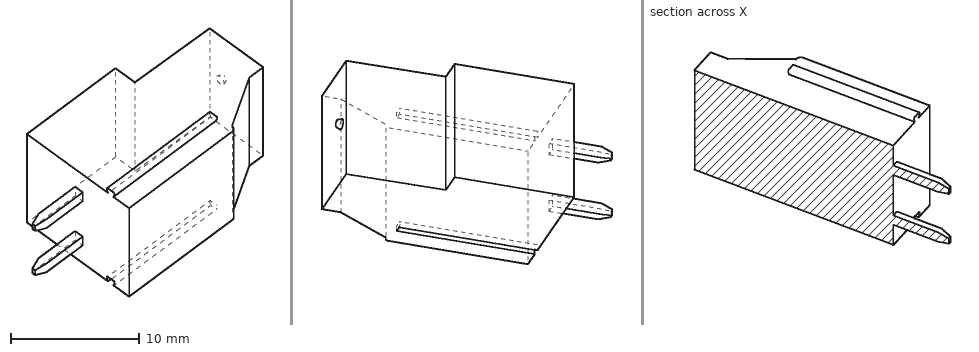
import cadquery as cq

pitch = 5.08
pole_count = 2
body_width = 11.2
body_length = 18.0
body_height = pole_count * pitch
total_length = 23.4
total_height = 10.67

shoulder_y = 9.83
shoulder_x = 2.13
back_left_x = 2.25
back_right_x = 8.12
slope_start_y = 16.45
slope_end = (10.76, 11.86)
lip_end = (10.95, 11.8)
lip_arc_middle = (11.15, 11.68)
lip_corner_y = 11.51

dovetail_x = 9.2
dovetail_length = 11.37
dovetail_height = total_height - body_height
dovetail_neck = 0.6
dovetail_head = 0.98
dovetail_rounding = 0.15

pin_x = 5.7
pin_width = 0.85
pin_height = 1.0
pin_straight = 4.05
pin_tip_width = 0.3
pin_tip_height = 0.55

nub_x = 3.4
nub_base_radius = 0.42
nub_top_radius = 0.3
nub_rounding = 0.16
nub_length = 0.4

pin_length = total_length - body_length - nub_length


def make_body():
    return (
        cq.Workplane("XY")
        .moveTo(0, 0)
        .lineTo(body_width, 0)
        .lineTo(body_width, lip_corner_y)
        .threePointArc(lip_arc_middle, lip_end)
        .lineTo(*slope_end)
        .lineTo(back_right_x, slope_start_y)
        .lineTo(back_right_x, body_length)
        .lineTo(back_left_x, body_length)
        .lineTo(shoulder_x, shoulder_y)
        .lineTo(0, shoulder_y)
        .close()
        .extrude(body_height)
    )


def make_dovetail(base_z):
    """Bar widening upward from base_z, with its two upper edges rounded."""
    half_neck = dovetail_neck / 2
    half_head = dovetail_head / 2
    return (
        cq.Workplane("XZ", origin=(dovetail_x, 0, base_z))
        .moveTo(-half_neck, 0)
        .lineTo(half_neck, 0)
        .lineTo(half_head, dovetail_height)
        .lineTo(-half_head, dovetail_height)
        .close()
        .extrude(-dovetail_length)
        .edges("|Y and >Z")
        .fillet(dovetail_rounding)
    )


def make_pin(center_z):
    """Rectangular pin pointing along -Y with a tapered tip."""
    shaft = (
        cq.Workplane("XZ", origin=(pin_x, 0, center_z))
        .rect(pin_width, pin_height)
        .extrude(pin_straight)
    )
    tip = (
        cq.Workplane("XZ", origin=(pin_x, -pin_straight, center_z))
        .rect(pin_width, pin_height)
        .workplane(offset=pin_length - pin_straight)
        .rect(pin_tip_width, pin_tip_height)
        .loft(ruled=True)
    )
    return shaft.union(tip)


def make_nub():
    """Tapered round nub with a rounded end, turned about a line along Y."""
    return (
        cq.Workplane("XY", origin=(nub_x, body_length, body_height / 2))
        .moveTo(0, 0)
        .lineTo(nub_base_radius, 0)
        .lineTo(nub_top_radius, nub_length)
        .lineTo(0, nub_length)
        .close()
        .revolve(360, (0, 0, 0), (0, 1, 0))
        .faces(">Y")
        .edges()
        .fillet(nub_rounding)
    )


result = make_body().cut(make_dovetail(0)).union(make_dovetail(body_height)).union(make_nub())
for pole in range(pole_count):
    result = result.union(make_pin((pole + 0.5) * pitch))